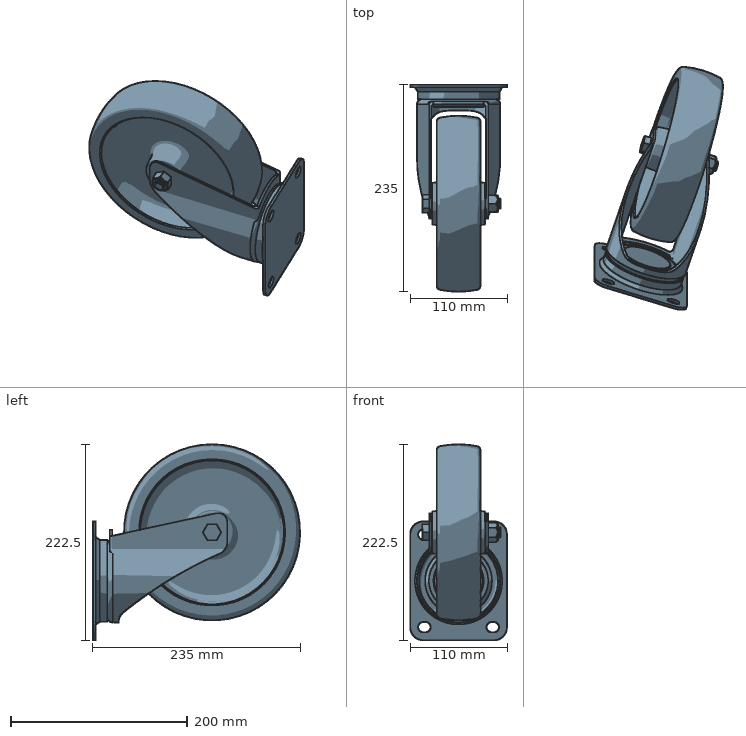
import cadquery as cq
import math


PLATE_WIDTH = 110.0
PLATE_HEIGHT = 135.0
PLATE_THICKNESS = 3.0
PLATE_CORNER_RADIUS = 15.0
SLOT_SPACING_X = 77.5
SLOT_SPACING_Z = 105.0
SLOT_LENGTH = 14.0
SLOT_WIDTH = 11.5

FLARE_RADIUS = 49.5
HOUSING_RADIUS = 46.5
FLARE_END_Y = -7.9
HOUSING_END_Y = -16.3

SHEET = 2.5
FORK_RADIUS = 47.3
FORK_BEND = 6.0
FORK_TOP_Y = HOUSING_END_Y
CROWN_TOP_Y = -19.0
CROWN_THICKNESS = 3.0
CROWN_BOTTOM_Y = CROWN_TOP_Y - CROWN_THICKNESS
CROWN_TAB_RADIUS = 58.3
ARM_OUTER_X = 33.5
ARM_INNER_X = ARM_OUTER_X - SHEET
ARM_BEND = 3.4
INNER_BEND = 4.5
ARM_BLEND = 10.0
ARM_END_Y = -152.2
ARM_TIP_TOP_Z = 79.3
ARM_TIP_BOTTOM_Z = 34.5
ARM_ROOT_TOP_Z = 50.5
ARM_TOP_CORNER = 10.0
ARM_BOTTOM_CORNER = 14.0
CUT_START_Y = -29.3
CUT_START_Z = -40.0
CUT_MIDDLE = (-90.2, 3.2)
CUT_CORNER = 13.0

BOSS_BASE_RADIUS = 38.0
BOSS_RADIUS = 33.6
BOSS_HEIGHT = 2.6
RIVET_BASE_RADIUS = 28.5
RIVET_RADIUS = 27.4
RIVET_HEIGHT = 1.0

WHEEL_RADIUS = 100.0
WHEEL_WIDTH = 50.0
AXLE_Y = -135.0
AXLE_Z = 55.0
SHOULDER_RADIUS = 97.76
SHOULDER_X = 21.3
TREAD_FACE_RADIUS = 92.5
SHOULDER_ROUND = 5.3
RIM_EDGE_RADIUS = 83.0
RIM_EDGE_CHAMFER = 1.5
RIM_BORE_RADIUS = 78.3
WEB_HALF_THICKNESS = 4.0
WEB_FILLET = 8.0
HUB_RADIUS = 24.0
HUB_ROOT_RADIUS = 25.4
HUB_HALF_LENGTH = 30.0
HUB_EDGE = 1.4

BOLT_RADIUS = 6.0
BOLT_END_X = 47.8
BOLT_END_CHAMFER = 1.0
HEAD_FLATS = 18.0
HEAD_HEIGHT = 7.5
NUT_FLATS = 19.0
NUT_HEIGHT = 10.8
NUT_CHAMFER_LENGTH = 2.0
COLLAR_RADIUS = 8.7
NUT_COLLAR_HEIGHT = 0.8


def prism_along_y(profile, start_y, end_y):
    """Move an XZ profile to start_y and extrude it toward -Y as far as end_y."""
    return profile.extrude(start_y - end_y).translate((0, start_y, 0))


def make_plate():
    plate = prism_along_y(cq.Workplane("XZ").rect(PLATE_WIDTH, PLATE_HEIGHT), 0, -PLATE_THICKNESS)
    plate = plate.edges("|Y").fillet(PLATE_CORNER_RADIUS)
    slots = cq.Workplane("XZ").rarray(SLOT_SPACING_X, SLOT_SPACING_Z, 2, 2).slot2D(SLOT_LENGTH, SLOT_WIDTH)
    return plate.cut(prism_along_y(slots, 0, -PLATE_THICKNESS))


def make_swivel():
    """Flared bearing housing, rounded fork head and bosses as one turned body."""
    bend_x = FORK_RADIUS - FORK_BEND
    bend_y = FORK_TOP_Y - FORK_BEND
    bend_middle = FORK_BEND * math.sqrt(0.5)
    boss_y = CROWN_BOTTOM_Y - BOSS_HEIGHT
    rivet_y = boss_y - RIVET_HEIGHT
    return (
        cq.Workplane("XY")
        .lineTo(0, -PLATE_THICKNESS)
        .lineTo(FLARE_RADIUS, -PLATE_THICKNESS)
        .lineTo(HOUSING_RADIUS, FLARE_END_Y)
        .lineTo(HOUSING_RADIUS, HOUSING_END_Y)
        .lineTo(bend_x, FORK_TOP_Y)
        .threePointArc((bend_x + bend_middle, bend_y + bend_middle), (FORK_RADIUS, bend_y))
        .lineTo(FORK_RADIUS - SHEET, bend_y)
        .lineTo(FORK_RADIUS - SHEET, CROWN_BOTTOM_Y)
        .lineTo(BOSS_BASE_RADIUS, CROWN_BOTTOM_Y)
        .lineTo(BOSS_RADIUS, boss_y)
        .lineTo(RIVET_BASE_RADIUS, boss_y)
        .lineTo(RIVET_RADIUS, rivet_y)
        .lineTo(0, rivet_y)
        .close()
        .revolve(360, (0, 0, 0), (0, 1, 0))
    )


def fork_prism(radius, half_width, top_y, blend):
    """Keyhole-shaped bar along Y: a round tube blended into a straight channel above it."""
    blend_x = half_width + blend
    blend_z = math.sqrt((radius + blend) ** 2 - blend_x**2)
    shrink = radius / (radius + blend)
    tube_x = blend_x * shrink
    tube_z = blend_z * shrink
    profile = (
        cq.Workplane("XZ")
        .moveTo(half_width, WHEEL_RADIUS)
        .lineTo(half_width, blend_z)
        .radiusArc((tube_x, tube_z), -blend)
        .threePointArc((0, -radius), (-tube_x, tube_z))
        .radiusArc((-half_width, blend_z), -blend)
        .lineTo(-half_width, WHEEL_RADIUS)
        .close()
    )
    return prism_along_y(profile, top_y, ARM_END_Y)


def fork_side_outline():
    """Side silhouette of the fork, a prism along X that trims the arms and the cup."""
    root_y = CROWN_TOP_Y
    outline = (
        cq.Workplane("YZ")
        .moveTo(root_y, -WHEEL_RADIUS)
        .lineTo(CUT_START_Y, -WHEEL_RADIUS)
        .lineTo(CUT_START_Y, CUT_START_Z)
        .threePointArc(CUT_MIDDLE, (ARM_END_Y, ARM_TIP_BOTTOM_Z))
        .lineTo(ARM_END_Y, ARM_TIP_TOP_Z)
        .lineTo(root_y, ARM_ROOT_TOP_Z)
        .close()
        .extrude(2 * FORK_RADIUS, both=True)
    )
    corners = (
        (CUT_START_Y, CUT_START_Z, CUT_CORNER),
        (ARM_END_Y, ARM_TIP_BOTTOM_Z, ARM_BOTTOM_CORNER),
        (ARM_END_Y, ARM_TIP_TOP_Z, ARM_TOP_CORNER),
    )
    for y, z, radius in corners:
        outline = outline.edges(cq.NearestToPointSelector((0, y, z))).fillet(radius)
    return outline


def make_fork():
    outer = fork_prism(FORK_RADIUS, ARM_OUTER_X, CROWN_TOP_Y, ARM_BLEND)
    outer_edge = cq.NearestToPointSelector((ARM_OUTER_X, CROWN_TOP_Y, ARM_ROOT_TOP_Z))
    outer = outer.edges(outer_edge).fillet(ARM_BEND)
    inner = fork_prism(FORK_RADIUS - SHEET, ARM_INNER_X, CROWN_BOTTOM_Y, ARM_BLEND + SHEET)
    inner_edge = cq.NearestToPointSelector((ARM_INNER_X, CROWN_BOTTOM_Y, ARM_ROOT_TOP_Z))
    inner = inner.edges(inner_edge).fillet(INNER_BEND)
    shell = outer.cut(inner).intersect(fork_side_outline())
    tab_disc = prism_along_y(cq.Workplane("XZ").circle(CROWN_TAB_RADIUS), CROWN_TOP_Y, CROWN_BOTTOM_Y)
    tab_strip = cq.Workplane("XY").box(
        2 * (ARM_OUTER_X - ARM_BEND), 2 * CROWN_TAB_RADIUS, CROWN_TAB_RADIUS, centered=(True, True, False)
    )
    return shell.union(tab_disc.intersect(tab_strip))


def half_wheel_section():
    """Wheel section on the +X side, with radius measured along local +Y from the axle."""
    face_x = WHEEL_WIDTH / 2
    web_x = WEB_HALF_THICKNESS
    fillet_x = web_x + WEB_FILLET
    fillet_rise = WEB_FILLET * (1 - math.sqrt(0.5))
    hub_end_radius = HUB_RADIUS - HUB_EDGE
    fillet_middle_x = web_x + fillet_rise
    rim_edge_x = face_x - RIM_EDGE_CHAMFER
    return (
        cq.Workplane("XY")
        .lineTo(HUB_HALF_LENGTH, 0)
        .lineTo(HUB_HALF_LENGTH, hub_end_radius)
        .radiusArc((HUB_HALF_LENGTH - HUB_EDGE, HUB_RADIUS), -HUB_EDGE)
        .lineTo(fillet_x, HUB_ROOT_RADIUS)
        .threePointArc(
            (fillet_middle_x, HUB_ROOT_RADIUS + fillet_rise), (web_x, HUB_ROOT_RADIUS + WEB_FILLET)
        )
        .lineTo(web_x, RIM_BORE_RADIUS - WEB_FILLET)
        .threePointArc((fillet_middle_x, RIM_BORE_RADIUS - fillet_rise), (fillet_x, RIM_BORE_RADIUS))
        .lineTo(rim_edge_x, RIM_EDGE_RADIUS - RIM_EDGE_CHAMFER)
        .lineTo(face_x, RIM_EDGE_RADIUS)
        .lineTo(face_x, TREAD_FACE_RADIUS)
        .radiusArc((SHOULDER_X, SHOULDER_RADIUS), -SHOULDER_ROUND)
        .lineTo(0, SHOULDER_RADIUS)
        .close()
    )


def make_wheel():
    half = half_wheel_section().revolve(360, (0, 0, 0), (1, 0, 0))
    crowned_tread = (
        cq.Workplane("XY")
        .moveTo(-SHOULDER_X, SHOULDER_RADIUS)
        .threePointArc((0, WHEEL_RADIUS), (SHOULDER_X, SHOULDER_RADIUS))
        .close()
        .revolve(360, (0, 0, 0), (1, 0, 0))
    )
    wheel = half.union(half.mirror("YZ")).union(crowned_tread)
    return wheel.rotate((0, 0, 0), (1, 0, 0), 90)


def make_bolt():
    """Bolt along X with its head on the -X arm and a lock nut on the +X arm."""
    corner_ratio = 1 / math.cos(math.radians(30))
    head_corners = HEAD_FLATS * corner_ratio
    nut_corners = NUT_FLATS * corner_ratio
    head_end_x = -ARM_OUTER_X - HEAD_HEIGHT
    nut_end_x = ARM_OUTER_X + NUT_HEIGHT
    shank_length = ARM_OUTER_X + BOLT_END_X
    head = cq.Workplane("YZ", origin=(head_end_x, 0, 0)).polygon(6, head_corners).extrude(HEAD_HEIGHT)
    nut = cq.Workplane("YZ", origin=(ARM_OUTER_X, 0, 0)).polygon(6, nut_corners).extrude(NUT_HEIGHT)
    nut_blank = cq.Workplane("YZ", origin=(ARM_OUTER_X, 0, 0)).circle(nut_corners / 2).extrude(NUT_HEIGHT)
    nut_blank = nut_blank.faces(">X").chamfer(NUT_CHAMFER_LENGTH, (nut_corners - NUT_FLATS) / 2)
    nut = nut.intersect(nut_blank)
    nut = nut.rotate((0, 0, 0), (1, 0, 0), 90)
    collar = cq.Workplane("YZ", origin=(nut_end_x, 0, 0)).circle(COLLAR_RADIUS).extrude(NUT_COLLAR_HEIGHT)
    shank = cq.Workplane("YZ", origin=(-ARM_OUTER_X, 0, 0)).circle(BOLT_RADIUS).extrude(shank_length)
    shank = shank.faces(">X").chamfer(BOLT_END_CHAMFER)
    return head.union(shank).union(nut).union(collar)


wheel_set = make_wheel().union(make_bolt()).translate((0, AXLE_Y, AXLE_Z))
result = make_plate().union(make_swivel()).union(make_fork()).union(wheel_set)